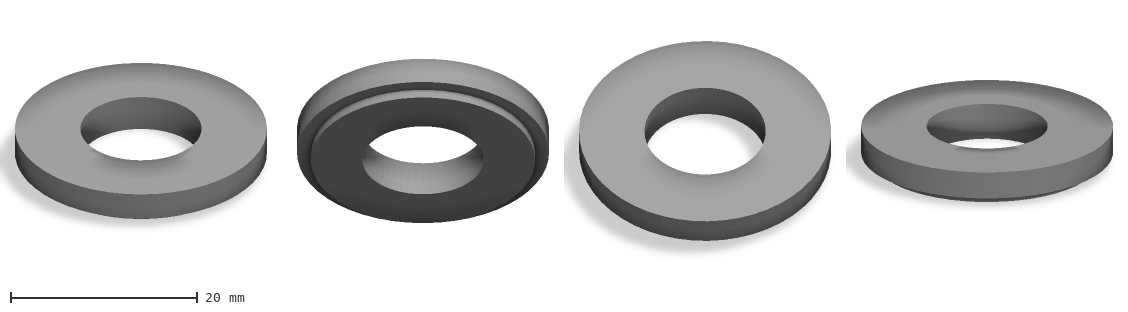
import cadquery as cq

flange_diameter = 27.0
step_diameter = 24.0
bore_diameter = 13.0
total_height = 4.0
step_height = 1.0
flange_thickness = total_height - step_height

step = cq.Workplane("XY").circle(step_diameter / 2).extrude(step_height)

flange = (
    cq.Workplane("XY")
    .workplane(offset=step_height)
    .circle(flange_diameter / 2)
    .extrude(flange_thickness)
)

bore = cq.Workplane("XY").circle(bore_diameter / 2).extrude(total_height)

result = step.union(flange).cut(bore)